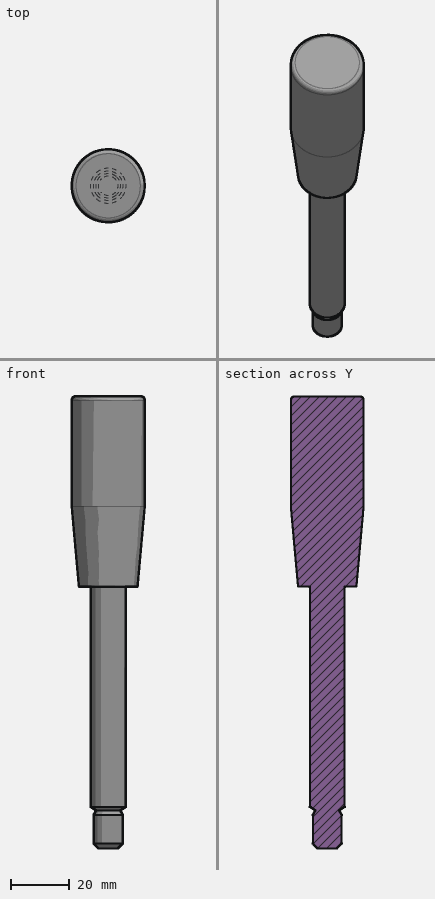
import cadquery as cq

total_length = 154.0
grip_length = 65.0
taper_length = 27.4
grip_bottom = total_length - grip_length
taper_top = grip_bottom + taper_length
stud_length = 11.4
undercut_lower_height = 1.5
undercut_upper_height = 1.2
undercut_z = stud_length + undercut_lower_height
shoulder_z = undercut_z + undercut_upper_height

grip_diameter = 25.0
grip_end_diameter = 20.0
rod_diameter = 12.0
stud_diameter = 10.0
undercut_diameter = 8.3
stud_tip_diameter = 6.6

tip_chamfer = (stud_diameter - stud_tip_diameter) / 2
top_round = 1.5
grip_bottom_round = 0.5


def make_rod():
    """Revolve the rod with its chamfered stud and V-shaped undercut."""
    profile = (
        cq.Workplane("XZ")
        .lineTo(stud_tip_diameter / 2, 0)
        .lineTo(stud_diameter / 2, tip_chamfer)
        .lineTo(stud_diameter / 2, stud_length)
        .lineTo(undercut_diameter / 2, undercut_z)
        .lineTo(rod_diameter / 2, shoulder_z)
        .lineTo(rod_diameter / 2, taper_top)
        .lineTo(0, taper_top)
        .close()
    )
    return profile.revolve(360, (0, 0, 0), (0, 1, 0))


def make_grip():
    """Revolve the grip: a cylinder above a cone narrowing downwards."""
    grip = (
        cq.Workplane("XZ")
        .moveTo(0, grip_bottom)
        .lineTo(grip_end_diameter / 2, grip_bottom)
        .lineTo(grip_diameter / 2, taper_top)
        .lineTo(grip_diameter / 2, total_length)
        .lineTo(0, total_length)
        .close()
        .revolve(360, (0, 0, 0), (0, 1, 0))
    )
    grip = grip.faces(">Z").edges().fillet(top_round)
    return grip.faces("<Z").edges().fillet(grip_bottom_round)


result = make_grip().union(make_rod())